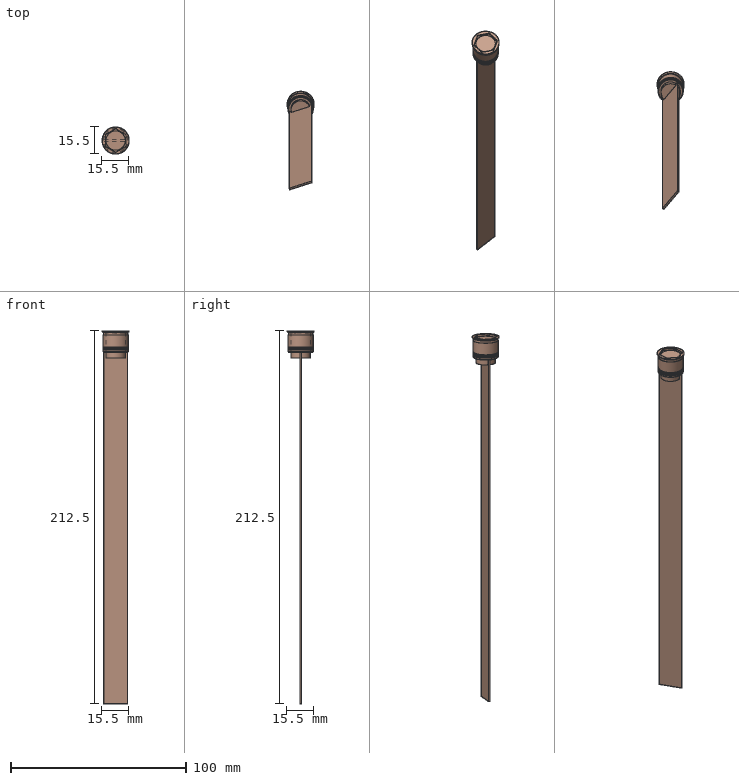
import cadquery as cq

total_height = 212.5
cap_height = 12.1
plug_projection = 3.2
cap_bottom = total_height - cap_height
plug_bottom = cap_bottom - plug_projection

flange_radius = 7.75
flange_rim_height = 0.2
flange_cone_height = 0.6
body_radius = 7.2
neck_radius = 7.0
neck_bottom = total_height - 2.1
barb_count = 3
barb_top = total_height - 9.0
barb_pitch = 0.6
barb_depth = 0.25
bottom_chamfer = 0.5
socket_across_flats = 11.7
socket_depth = 1.0
socket_floor = total_height - socket_depth

plug_radius = 5.5
strip_width = 13.5
strip_thickness = 1.0


def make_cap():
    """Turned cap with a hexagonal socket above a through bore for the plug."""
    flange_bottom = total_height - flange_rim_height
    cone_bottom = flange_bottom - flange_cone_height
    profile = [
        (0, total_height),
        (flange_radius, total_height),
        (flange_radius, flange_bottom),
        (neck_radius, cone_bottom),
        (neck_radius, neck_bottom),
        (body_radius, neck_bottom),
    ]
    for barb in range(barb_count):
        root_height = barb_top - barb * barb_pitch
        profile += [
            (body_radius, root_height),
            (body_radius - barb_depth, root_height),
        ]
    profile += [
        (body_radius, barb_top - barb_count * barb_pitch),
        (body_radius, cap_bottom + bottom_chamfer),
        (body_radius - bottom_chamfer, cap_bottom),
        (0, cap_bottom),
    ]
    cap = cq.Workplane("XZ").polyline(profile).close().revolve(360, (0, 0), (0, 1))
    socket = (
        cq.Workplane("XY", origin=(0, 0, socket_floor))
        .polygon(6, socket_across_flats, circumscribed=True)
        .extrude(socket_depth)
    )
    bore = cq.Workplane("XY", origin=(0, 0, cap_bottom)).circle(plug_radius).extrude(cap_height)
    return cap.cut(socket).cut(bore)


def make_strip():
    """Flat strip standing on Z = 0 and ending against the underside of the cap."""
    return cq.Workplane("XY").rect(strip_width, strip_thickness).extrude(cap_bottom)


def make_plug(strip):
    """Round plug filling the bore, slotted at its lower end to straddle the strip."""
    plug = (
        cq.Workplane("XY", origin=(0, 0, plug_bottom))
        .circle(plug_radius)
        .extrude(socket_floor - plug_bottom)
    )
    return plug.cut(strip)


cap = make_cap()
strip = make_strip()
plug = make_plug(strip)

result = cq.Compound.makeCompound([cap.val(), plug.val(), strip.val()])